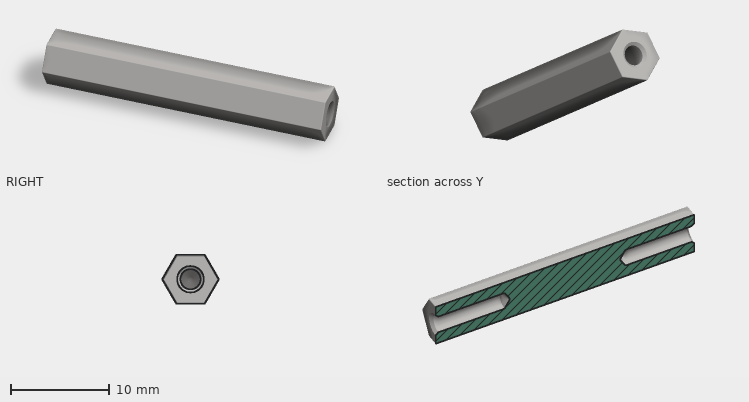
import cadquery as cq
import math

length = 30.0
across_flats = 5.0
edge_radius = 0.1

bore_diameter = 2.05
bore_depth = 8.0
drill_point_angle = 118.0
countersink_diameter = 2.7
countersink_angle = 90.0


def cone_height(radius, included_angle):
    return radius / math.tan(math.radians(included_angle / 2))


def hex_bar():
    """Hexagonal bar with flats facing +Z and -Z and every edge rounded."""
    across_corners = across_flats / math.cos(math.radians(30))
    bar = cq.Workplane("YZ").polygon(6, across_corners).extrude(length / 2, both=True)
    return bar.edges().fillet(edge_radius)


def bore():
    """Drilled hole with a countersunk mouth, entering from the -X end."""
    bore_radius = bore_diameter / 2
    mouth_radius = countersink_diameter / 2
    mouth_x = -length / 2
    countersink_end_x = mouth_x + cone_height(mouth_radius - bore_radius, countersink_angle)
    bore_end_x = mouth_x + bore_depth
    tip_x = bore_end_x + cone_height(bore_radius, drill_point_angle)
    profile = (
        cq.Workplane("XY")
        .moveTo(mouth_x, 0)
        .lineTo(mouth_x, mouth_radius)
        .lineTo(countersink_end_x, bore_radius)
        .lineTo(bore_end_x, bore_radius)
        .lineTo(tip_x, 0)
        .close()
    )
    return profile.revolve(360, (0, 0, 0), (1, 0, 0))


near_bore = bore()
far_bore = near_bore.mirror("YZ")
result = hex_bar().cut(near_bore).cut(far_bore)